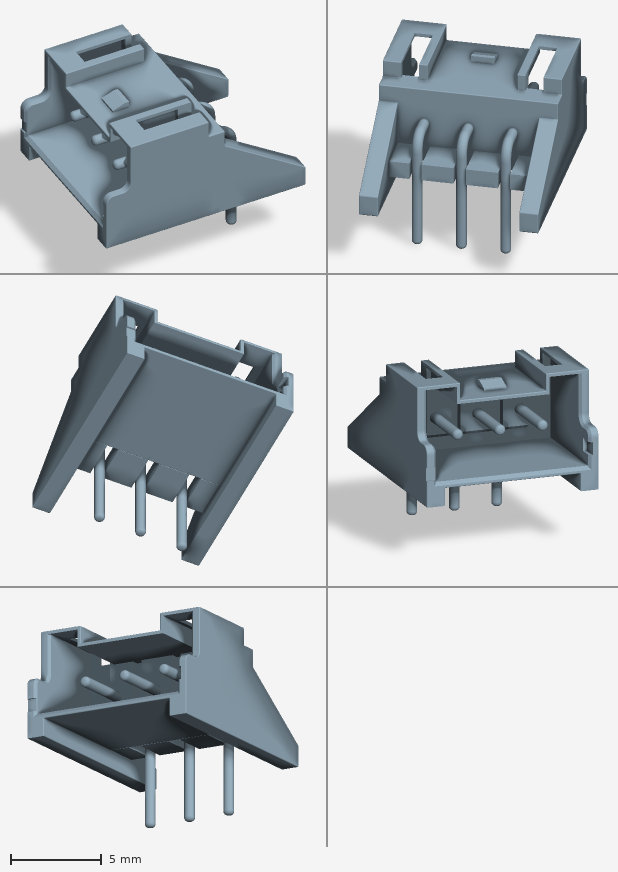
import cadquery as cq

TOLERANCE = 0.001

LENGTH = 12.45
WIDTH = 10.13
HEIGHT = 6.5
SHELF_HEIGHT = 5.5
FLOOR_BOTTOM = 1.02
CHEEK_THICKNESS = 1.07
CHEEK_INNER = WIDTH / 2 - CHEEK_THICKNESS

TOWER_FRONT = 1.51
TOWER_BACK = 6.4
BODY_BACK = 7.41
TAIL_HEIGHT = 1.22
SLOPE_TOP = 4.51
TAIL_FILLET = 0.1
LIP_HEIGHT = 3.5
LIP_RADIUS = 0.5
EDGE_FILLET = 0.05

CAVITY_HALF_WIDTH = 4.5
CAVITY_FLOOR = 1.38
CAVITY_BACK = 6.01
WALL = 0.2
TOWER_INNER = 2.53
MOUTH_CHAMFER = 0.15
FLOOR_CHAMFER = 0.2

SLOT_CENTER = 3.51
SLOT_WIDTH = 1.02
SLOT_FRONT = 2.93

PAD_FRONT = 5.55
PAD_BOTTOM = 2.2
PAD_CHAMFER = 0.19
PAD_GAP = 0.52
CENTER_PAD_WIDTH = 1.99
PAD_OUTER = SLOT_CENTER - SLOT_WIDTH / 2

PIN_PITCH = 2.5
PIN_DIAMETER = 0.6
PIN_HEIGHT = 3.4
PIN_FRONT = 1.79
PIN_DROP_Y = 9.15
PIN_BOTTOM = -3.2
PIN_BEND_RADIUS = 0.82
PIN_TIP_FILLET = 0.22
PIN_POSITIONS = [-PIN_PITCH, 0, PIN_PITCH]

COMB_BACK = 9.61
COMB_TOP = 1.99
COMB_SLOT_WIDTH = 0.7
COMB_CLEARANCE = 0.02

WEDGE_WIDTH = 1.32
WEDGE_FRONT = 2.74
WEDGE_CREST = 3.51
WEDGE_BACK = 3.76
WEDGE_FRONT_HEIGHT = 0.12
WEDGE_HEIGHT = 0.4

LEFT_NOTCH_DEPTH = 0.11
LEFT_NOTCH_BOTTOM = 1.52
RIGHT_NOTCH_DEPTH = 0.24
RIGHT_NOTCH_LENGTH = 0.93
RIGHT_NOTCH_BOTTOM = 2.0
NOTCH_HEIGHT = 0.75


def box(x0, x1, y0, y1, z0, z1):
    """Box between two opposite corners."""
    return cq.Workplane("XY").box(x1 - x0, y1 - y0, z1 - z0, centered=False).translate((x0, y0, z0))


def mirrored(shape):
    """The shape together with its mirror image across X = 0."""
    return shape.union(shape.mirror("YZ"))


def outer_block():
    """Side outline swept over the full width, with an S-curve at the front lip."""
    block = (
        cq.Workplane("YZ")
        .moveTo(0, 0)
        .lineTo(LENGTH, 0)
        .lineTo(LENGTH, TAIL_HEIGHT)
        .lineTo(BODY_BACK, SLOPE_TOP)
        .lineTo(BODY_BACK, SHELF_HEIGHT)
        .lineTo(TOWER_BACK, SHELF_HEIGHT)
        .lineTo(TOWER_BACK, HEIGHT)
        .lineTo(TOWER_FRONT, HEIGHT)
        .lineTo(TOWER_FRONT, LIP_HEIGHT + LIP_RADIUS)
        .radiusArc((TOWER_FRONT - LIP_RADIUS, LIP_HEIGHT), LIP_RADIUS)
        .lineTo(LIP_RADIUS, LIP_HEIGHT)
        .radiusArc((0, LIP_HEIGHT - LIP_RADIUS), -LIP_RADIUS)
        .close()
        .extrude(WIDTH / 2, both=True)
        .edges(">Y and |X")
        .fillet(TAIL_FILLET)
    )
    under_floor = box(-CHEEK_INNER, CHEEK_INNER, 0, LENGTH, 0, FLOOR_BOTTOM)
    behind_body = box(-CHEEK_INNER, CHEEK_INNER, BODY_BACK, LENGTH, 0, HEIGHT)
    between_towers = box(-TOWER_INNER, TOWER_INNER, 0, LENGTH, SHELF_HEIGHT, HEIGHT)
    return block.cut(under_floor).cut(behind_body).cut(between_towers)


def soften_edges(block):
    """Small fillets on all edges but the feet's front edges and the cross seams of the lip and tail."""
    outline_edges = cq.StringSyntaxSelector("not |X")
    upper_edges = cq.selectors.BoxSelector(
        (-WIDTH, -TOLERANCE, SLOPE_TOP - TOLERANCE), (WIDTH, LENGTH, HEIGHT + TOLERANCE)
    )
    floor_edges = cq.selectors.BoxSelector(
        (-WIDTH, -TOLERANCE, FLOOR_BOTTOM - TOLERANCE), (WIDTH, LENGTH, FLOOR_BOTTOM + TOLERANCE)
    )
    return block.edges(outline_edges + upper_edges + floor_edges).fillet(EDGE_FILLET)


def cavity():
    """Front opening that rises into both towers."""
    middle = box(
        -CAVITY_HALF_WIDTH, CAVITY_HALF_WIDTH, 0, CAVITY_BACK, CAVITY_FLOOR, SHELF_HEIGHT - WALL
    )
    tower = box(
        TOWER_INNER + WALL, CAVITY_HALF_WIDTH, 0, CAVITY_BACK, CAVITY_FLOOR, HEIGHT - WALL
    )
    return middle.union(mirrored(tower))


def chamfer_mouth(block):
    """Lead-in along the floor edge and the stepped inner edges of the side walls."""
    for x in (-CAVITY_HALF_WIDTH, CAVITY_HALF_WIDTH):
        wall_edges = cq.selectors.BoxSelector(
            (x - TOLERANCE, -TOLERANCE, CAVITY_FLOOR + TOLERANCE),
            (x + TOLERANCE, TOWER_FRONT + TOLERANCE, HEIGHT - WALL - TOLERANCE),
        )
        block = block.edges(wall_edges).chamfer(MOUTH_CHAMFER)
    floor_edge = cq.selectors.BoxSelector(
        (-WIDTH, -TOLERANCE, CAVITY_FLOOR - TOLERANCE), (WIDTH, TOLERANCE, CAVITY_FLOOR + TOLERANCE)
    )
    return block.edges(floor_edge).chamfer(FLOOR_CHAMFER)


def roof_slots():
    """Slots open to the rear, cut down to shelf height."""
    slot = box(
        SLOT_CENTER - SLOT_WIDTH / 2, SLOT_CENTER + SLOT_WIDTH / 2,
        SLOT_FRONT, TOWER_BACK + EDGE_FILLET, SHELF_HEIGHT, HEIGHT
    )
    return mirrored(slot)


def pad(x0, x1, top):
    """Raised pad on the back wall with a bevelled lower edge."""
    block = box(x0, x1, PAD_FRONT, CAVITY_BACK, PAD_BOTTOM, top)
    return block.faces("<Y").edges("<Z").chamfer(PAD_CHAMFER)


def pads():
    """Centre pad, two side pads and the strips that carry the side pads up into the towers."""
    pad_top = SHELF_HEIGHT - WALL
    half = CENTER_PAD_WIDTH / 2
    center_pad = pad(-half, half, pad_top)
    side_pad = pad(half + PAD_GAP, PAD_OUTER, pad_top)
    tower_strip = box(
        TOWER_INNER, PAD_OUTER, PAD_FRONT, CAVITY_BACK, pad_top, HEIGHT - WALL
    )
    return center_pad.union(mirrored(side_pad.union(tower_strip)))


def comb():
    """Low block behind the body, split by one slot per pin."""
    half_width = CHEEK_INNER - COMB_CLEARANCE
    half_slot = COMB_SLOT_WIDTH / 2
    block = box(-half_width, half_width, BODY_BACK, COMB_BACK, FLOOR_BOTTOM, COMB_TOP)
    for x in PIN_POSITIONS:
        block = block.cut(box(x - half_slot, x + half_slot, BODY_BACK, COMB_BACK, FLOOR_BOTTOM, COMB_TOP))
    return block


def wedge():
    """Latch ramp rising towards the rear."""
    outline = [
        (WEDGE_FRONT, SHELF_HEIGHT),
        (WEDGE_FRONT, SHELF_HEIGHT + WEDGE_FRONT_HEIGHT),
        (WEDGE_CREST, SHELF_HEIGHT + WEDGE_HEIGHT),
        (WEDGE_BACK, SHELF_HEIGHT + WEDGE_HEIGHT),
        (WEDGE_BACK, SHELF_HEIGHT),
    ]
    return cq.Workplane("YZ").polyline(outline).close().extrude(WEDGE_WIDTH / 2, both=True)


def notches():
    """One notch across the left front face and one inside the right wall."""
    left = box(
        -WIDTH / 2, -CAVITY_HALF_WIDTH, 0, LEFT_NOTCH_DEPTH,
        LEFT_NOTCH_BOTTOM, LEFT_NOTCH_BOTTOM + NOTCH_HEIGHT
    )
    right = box(
        CAVITY_HALF_WIDTH, CAVITY_HALF_WIDTH + RIGHT_NOTCH_DEPTH, 0, RIGHT_NOTCH_LENGTH,
        RIGHT_NOTCH_BOTTOM, RIGHT_NOTCH_BOTTOM + NOTCH_HEIGHT
    )
    return left.union(right)


def pin():
    """Right-angle round pin with rounded tips, in the plane X = 0."""
    path = (
        cq.Workplane("YZ")
        .moveTo(PIN_FRONT, PIN_HEIGHT)
        .lineTo(PIN_DROP_Y - PIN_BEND_RADIUS, PIN_HEIGHT)
        .radiusArc((PIN_DROP_Y, PIN_HEIGHT - PIN_BEND_RADIUS), PIN_BEND_RADIUS)
        .lineTo(PIN_DROP_Y, PIN_BOTTOM)
    )
    start = cq.Workplane("XZ", origin=(0, PIN_FRONT, PIN_HEIGHT))
    rod = start.circle(PIN_DIAMETER / 2).sweep(path)
    return rod.faces("<Y or <Z").edges().fillet(PIN_TIP_FILLET)


sharp_block = outer_block()
opening = sharp_block.cut(chamfer_mouth(sharp_block.cut(cavity())))
body = soften_edges(sharp_block).cut(opening)
body = body.cut(roof_slots()).cut(notches())
body = body.union(pads()).union(comb()).union(wedge())
for x in PIN_POSITIONS:
    body = body.union(pin().translate((x, 0, 0)))
result = body